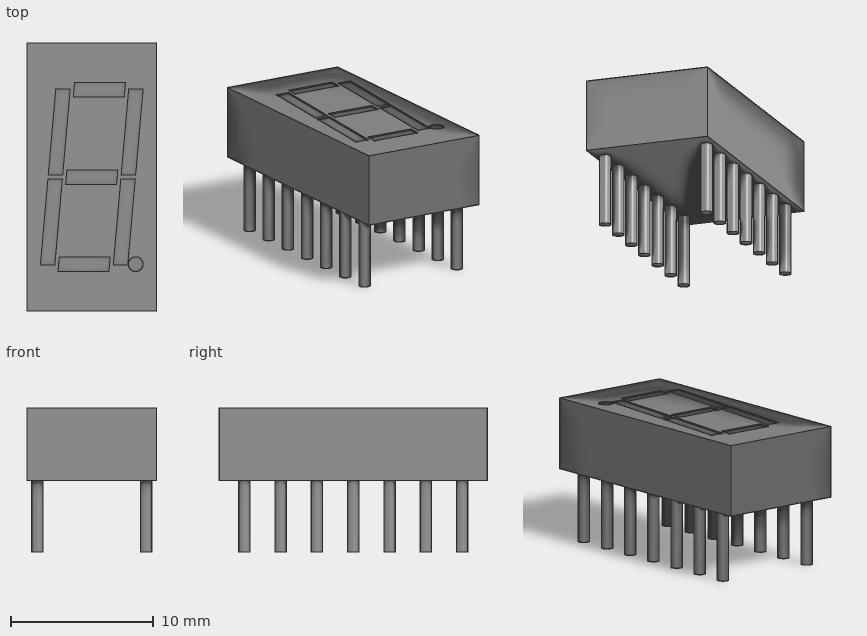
import cadquery as cq
import math

body_width = 9.08
body_length = 18.75
body_height = 5.08

pin_diameter = 0.8
pin_length = 5.0
pins_per_row = 7
row_spacing = 7.61
pin_pitch = row_spacing / 3

recess_depth = 0.1
slant = math.tan(math.radians(5))
segment_thickness = 1.01
bar_length = 3.56
bar_pitch = 6.1
upright_length = 6.0
upright_gap = 0.3
upright_spacing = 5.1
dot_diameter = 1.03
dot_x = 3.08


def make_body():
    return cq.Workplane("XY").box(
        body_width, body_length, body_height, centered=(True, True, False)
    )


def make_pins():
    return (
        cq.Workplane("XY")
        .rarray(row_spacing, pin_pitch, 2, pins_per_row)
        .circle(pin_diameter / 2)
        .extrude(-pin_length)
    )


def segment_recess(center_x, center_y, width, height):
    """Rectangular segment, sheared toward +X in proportion to Y."""
    left, right = center_x - width / 2, center_x + width / 2
    bottom, top = center_y - height / 2, center_y + height / 2
    corners = [(left, bottom), (right, bottom), (right, top), (left, top)]
    return (
        cq.Workplane("XY", origin=(0, 0, body_height))
        .polyline([(x + slant * y, y) for x, y in corners])
        .close()
        .extrude(-recess_depth)
    )


def dot_recess():
    return (
        cq.Workplane("XY", origin=(dot_x, -bar_pitch, body_height))
        .circle(dot_diameter / 2)
        .extrude(-recess_depth)
    )


result = make_body().union(make_pins())

for row in (-1, 0, 1):
    result = result.cut(segment_recess(0, row * bar_pitch, bar_length, segment_thickness))

upright_y = (upright_length + upright_gap) / 2
for side in (-1, 1):
    for half in (-1, 1):
        result = result.cut(
            segment_recess(
                side * upright_spacing / 2, half * upright_y, segment_thickness, upright_length
            )
        )

result = result.cut(dot_recess())